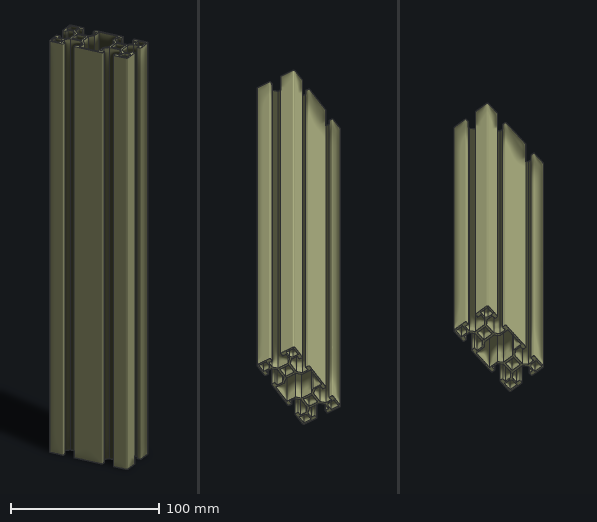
import cadquery as cq
import math

length = 304.8
width = 60.0
cell = width / 2

slot_opening = 8.2
slot_inner_width = 13.7
lip_thickness = 2.7

outer_wall = 1.2
slot_wall = 1.07
web_thickness = 1.5

core_width = 10.0
core_hole_width = 7.0

pocket_chamfer = 1.5
edge_radius = 1.2
lip_radius = 0.37

half_cell = cell / 2
half_core = core_width / 2
half_slot = slot_inner_width / 2
web_offset = web_thickness / math.sqrt(2)
pocket_inner = half_slot + slot_wall
pocket_outer = half_cell - outer_wall


def prism(points):
    """Extrude a closed outline over the whole length."""
    return cq.Workplane("XY").polyline(points).close().extrude(length)


def make_slot():
    """T-slot opening toward +Y, centred on a cell axis."""
    half_opening = slot_opening / 2
    lip_level = half_cell - lip_thickness
    right_side = [
        (half_core - web_offset, half_core),
        (half_slot, half_slot + web_offset),
        (half_slot, lip_level),
        (half_opening, lip_level),
        (half_opening, half_cell - lip_radius),
    ]
    left_side = [(-x, y) for x, y in reversed(right_side)]
    half_mouth = half_opening + lip_radius
    bend = lip_radius * (1 - math.sqrt(0.5))
    return (
        cq.Workplane("XY")
        .polyline(left_side + right_side)
        .threePointArc((half_opening + bend, half_cell - bend), (half_mouth, half_cell))
        .lineTo(-half_mouth, half_cell)
        .threePointArc((-half_opening - bend, half_cell - bend), left_side[0])
        .close()
        .extrude(length)
    )


def make_corner_pocket():
    """Closed hollow in the +X +Y corner of a cell, chamfered where the web meets it."""
    return prism([
        (pocket_inner + pocket_chamfer, pocket_inner),
        (pocket_outer, pocket_inner),
        (pocket_outer, pocket_outer),
        (pocket_inner, pocket_outer),
        (pocket_inner, pocket_inner + pocket_chamfer),
    ])


def make_central_cavity():
    """Large chamber between the two cores, bounded by their webs and the outer walls."""
    core_face = half_cell - half_core
    side_face = half_cell - pocket_inner
    web_start = half_core - web_offset
    web_end = pocket_inner - web_offset
    upper_right = [
        (core_face, web_start),
        (side_face, web_end),
        (side_face, pocket_outer),
    ]
    upper_left = [(-x, y) for x, y in reversed(upper_right)]
    upper = upper_right + upper_left
    lower = [(-x, -y) for x, y in upper]
    return prism(upper + lower)


body = cq.Workplane("XY").rect(width, cell).extrude(length)
body = body.edges("|Z").fillet(edge_radius)
body = body.cut(make_central_cavity())

slot = make_slot()
corner_pocket = make_corner_pocket()
core_hole = cq.Workplane("XY").rect(core_hole_width, core_hole_width).extrude(length)

for side in (-1, 1):
    cell_x = side * half_cell
    body = body.cut(core_hole.translate((cell_x, 0, 0)))

    for angle in (0, 180, -90 * side):
        turned_slot = slot.rotate((0, 0, 0), (0, 0, 1), angle)
        body = body.cut(turned_slot.translate((cell_x, 0, 0)))

    outer_corner_angles = (0, -90) if side > 0 else (90, 180)
    for angle in outer_corner_angles:
        turned_pocket = corner_pocket.rotate((0, 0, 0), (0, 0, 1), angle)
        body = body.cut(turned_pocket.translate((cell_x, 0, 0)))

result = body